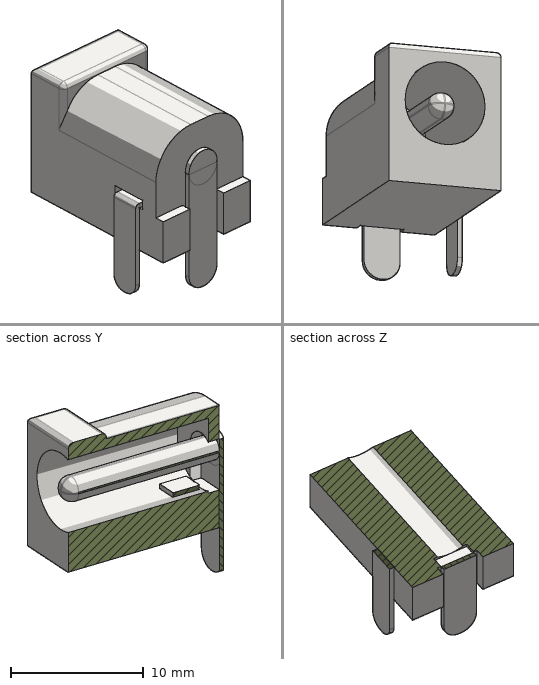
import cadquery as cq


width = 9.0
half_width = width / 2
head_length = 3.5
head_height = 10.8
head_fillet = 0.45
barrel_end = 13.7
barrel_height = 10.3
barrel_radius = 3.6
foot_end = 14.5
foot_height = 3.6
foot_gap = 3.5

socket_z = 6.4
socket_diameter = 6.4
rear_wall = 1.0
socket_depth = barrel_end - rear_wall

sheet = 0.4
terminal_bottom = -4.0

pin_size = 2.0
pin_fillet = 0.95
pin_tab_width = 2.9
pin_tab_square_top = 6.3
pin_tab_tip_radius = 1.4

contact_x = 10.7
contact_width = 2.4
contact_tip_radius = 1.1
contact_bend_radius = 0.3
contact_inner_y = 0.8
window_width = 3.0
window_height = 0.8
window_bottom = 3.7


def box(x_range, y_range, z_range):
    """Axis-aligned block given by its limits along X, Y and Z."""
    (x0, x1), (y0, y1), (z0, z1) = x_range, y_range, z_range
    return cq.Workplane("XY").box(x1 - x0, y1 - y0, z1 - z0, centered=False).translate((x0, y0, z0))


def centred(size, middle=0.0):
    """Limits of a length that is centred on a coordinate."""
    return middle - size / 2, middle + size / 2


def disc(start_x, diameter, length):
    """Cylinder along X on the axis of the socket."""
    return cq.Workplane("YZ", origin=(start_x, 0, socket_z)).circle(diameter / 2).extrude(length)


def make_head():
    """Square front block, rounded along its top edges and its rear corners."""
    head = box((0, head_length), centred(width), (0, head_height))
    return head.edges(">Z or (|Z and >X)").fillet(head_fillet)


def make_barrel():
    """Body behind the head, with large rounds along both top edges."""
    barrel = box((0, barrel_end), centred(width), (0, barrel_height))
    return barrel.edges("|X and >Z").fillet(barrel_radius)


def make_foot():
    """Low step at the back, split in the middle to clear the pin tab."""
    foot = box((barrel_end, foot_end), centred(width), (0, foot_height))
    gap = box((barrel_end, foot_end), centred(foot_gap), (0, foot_height))
    return foot.cut(gap)


def make_socket():
    """Round bore from the front face, with a keyhole through the rear wall up to the pin tab."""
    bore = disc(0, socket_diameter, socket_depth)
    socket_bottom = socket_z - socket_diameter / 2
    rear_slot = box(
        (socket_depth, barrel_end), centred(pin_tab_width), (socket_bottom, pin_tab_square_top)
    )
    rear_hole = disc(socket_depth, pin_tab_width, rear_wall)
    return bore.union(rear_slot).union(rear_hole)


def make_window():
    """Rectangular opening from the side face into the socket."""
    return box(
        centred(window_width, contact_x),
        (-half_width, 0),
        (window_bottom, window_bottom + window_height),
    )


def make_housing():
    body = make_head().union(make_barrel()).union(make_foot())
    return body.cut(make_socket()).cut(make_window())


def make_pin():
    """Rounded square pin riveted to a flat tab with a round head and a round tip."""
    tab_x = (barrel_end, barrel_end + sheet)
    tab = box(tab_x, centred(pin_tab_width), (terminal_bottom, pin_tab_square_top))
    tab = tab.edges("|X and <Z").fillet(pin_tab_tip_radius)
    tab_head = disc(barrel_end, pin_tab_width, sheet)
    pin = box((0, barrel_end), centred(pin_size), centred(pin_size, socket_z))
    pin = pin.edges("|X").fillet(pin_fillet).faces("<X").edges().fillet(pin_fillet)
    return tab.union(tab_head, clean=False).union(pin, clean=False)


def make_contact():
    """Tongue lying on the window sill, bent down outside the housing into a round-tipped tab."""
    x_range = centred(contact_width, contact_x)
    outer_y = -half_width - sheet
    top = window_bottom + sheet
    tab = box(x_range, (outer_y, -half_width), (terminal_bottom, top))
    tab = tab.edges("|Y and <Z").fillet(contact_tip_radius)
    tab = tab.edges("|X and >Z and <Y").fillet(contact_bend_radius)
    tongue = box(x_range, (-half_width, contact_inner_y), (window_bottom, top))
    return tab.union(tongue, clean=False)


housing = make_housing().solids()
pin = make_pin().solids()
contact = make_contact().solids()

result = cq.Compound.makeCompound([housing.val(), pin.val(), contact.val()])